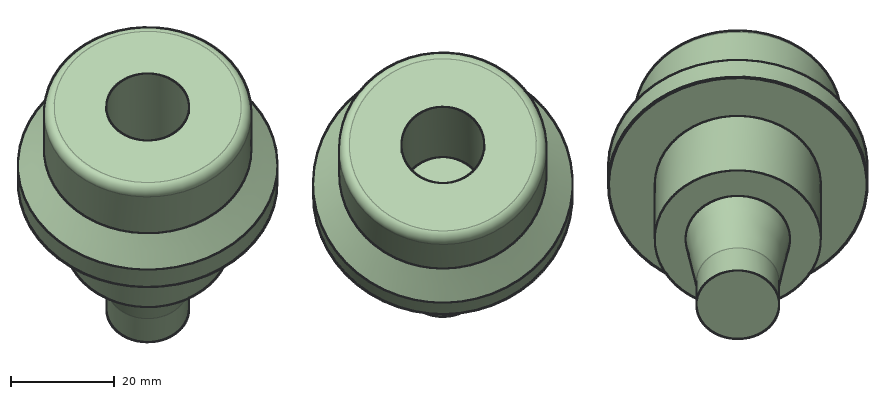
import cadquery as cq

flange_diameter = 50.0
head_diameter = 40.0
body_diameter = 32.0
taper_diameter = 20.1
pin_diameter = 16.0
bore_diameter = 16.0

total_height = 66.0
pin_top = 7.7
taper_top = 22.5
flange_bottom = 41.2
flange_rim_top = 47.1
head_bottom = flange_rim_top + (flange_diameter - head_diameter) / 2

head_fillet = 2.0
flange_chamfer = 0.2
bore_depth = total_height - flange_bottom


def revolved_body():
    """Stepped round body, revolved about Z from its half profile."""
    flange_radius = flange_diameter / 2
    head_radius = head_diameter / 2
    profile = (
        cq.Workplane("XZ")
        .lineTo(pin_diameter / 2, 0)
        .lineTo(pin_diameter / 2, pin_top)
        .lineTo(taper_diameter / 2, taper_top)
        .lineTo(body_diameter / 2, taper_top)
        .lineTo(body_diameter / 2, flange_bottom)
        .lineTo(flange_radius - flange_chamfer, flange_bottom)
        .lineTo(flange_radius, flange_bottom + flange_chamfer)
        .lineTo(flange_radius, flange_rim_top)
        .lineTo(head_radius, head_bottom)
        .lineTo(head_radius, total_height)
        .lineTo(0, total_height)
        .close()
    )
    return profile.revolve(360, (0, 0, 0), (0, 1, 0))


body = revolved_body().faces(">Z").edges().fillet(head_fillet)
result = body.faces(">Z").workplane().hole(bore_diameter, bore_depth)